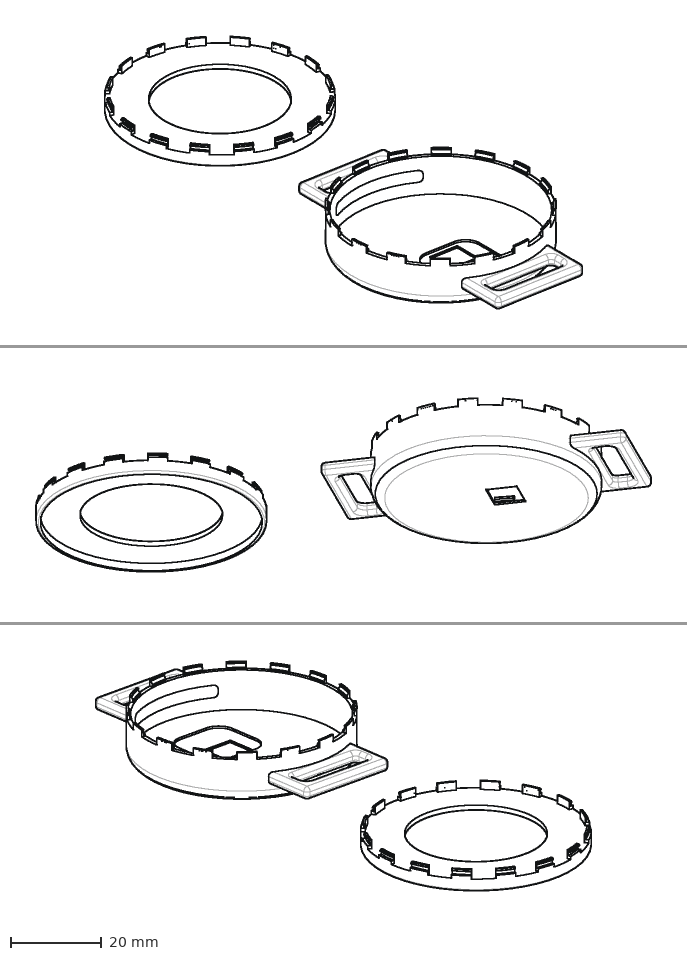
import cadquery as cq

outer_radius = 51.0 / 2
inner_radius = 49.0 / 2
wall = outer_radius - inner_radius

tooth_count = 16
tooth_angle = 10.0
tooth_pitch = 360 / tooth_count
gap_angle = tooth_pitch - tooth_angle

housing_height = 12.2
floor_thickness = 1.0
housing_bottom_fillet = 3.0

recess_size = 16.0
recess_corner = 4.0
recess_depth = 0.5
recess_center_x = 7.75
window_length = 7.0
window_width = 7.9
window_center_x = 4.45

housing_tooth_height = 1.65
rim_radius = 25.0
rim_groove_radius = 25.2
rim_groove_depth = 0.4
rim_hook_radius = 24.6
rim_hook_depth = 1.2
rim_root_radius = 24.85

lid_center_x = -76.3
lid_bottom_z = 3.0
lid_thickness = 3.0
lid_web = 1.2
lid_opening_radius = 31.5 / 2
lid_bottom_fillet = 0.5

lid_tooth_height = 2.0
lid_ledge_height = 0.75
lid_neck_radius = 24.8
lid_neck_top = 1.5
lid_lip_radius = 25.2
lid_lip_height = 1.65
lid_tip_radius = 24.95

lug_reach = 136.44 - outer_radius + lid_center_x
lug_root_x = 20.0
lug_width = 24.9
lug_thickness = 3.0
lug_center_z = 5.7
lug_edge_fillet = 1.0
slot_near_x = 26.55
slot_far_x = 31.45
slot_length = 19.5
slot_near_corner = 1.0
slot_far_corner = 1.8
slot_edge_fillet = 1.0


def cylinder(radius, height):
    return cq.Workplane("XY").circle(radius).extrude(height)


def revolve(profile, angle=360.0):
    """Solid swept about Z from a closed (radius, height) outline, starting at +X."""
    return cq.Workplane("XZ").polyline(profile).close().revolve(angle, (0, 0), (0, 1))


def cut_gaps(body, bottom, height, first_angle):
    """Cut the gaps that leave teeth on a rim; the first gap starts at first_angle."""
    inside = inner_radius - wall
    outside = outer_radius + wall
    top = bottom + height + wall
    sector = [(inside, bottom), (outside, bottom), (outside, top), (inside, top)]
    gap = revolve(sector, gap_angle)
    for index in range(tooth_count):
        angle = first_angle + index * tooth_pitch
        body = body.cut(gap.rotate((0, 0, 0), (0, 0, 1), angle))
    return body


def build_lid():
    """Ring plate with a hollow underside and teeth hooked on their outer face."""
    plate_top = lid_thickness
    tip = plate_top + lid_tooth_height
    ledge = plate_top + lid_ledge_height
    underside = lid_thickness - lid_web
    profile = [
        (inner_radius, 0),
        (outer_radius, 0),
        (outer_radius, ledge),
        (lid_neck_radius, ledge),
        (lid_neck_radius, plate_top + lid_neck_top),
        (lid_lip_radius, plate_top + lid_lip_height),
        (lid_tip_radius, tip),
        (inner_radius, tip),
        (inner_radius, plate_top),
        (lid_opening_radius, plate_top),
        (lid_opening_radius, underside),
        (inner_radius, underside),
    ]
    lid = revolve(profile)
    lid = lid.faces("<Z").edges(cq.selectors.RadiusNthSelector(-1)).fillet(lid_bottom_fillet)
    lid = cut_gaps(lid, plate_top, lid_tooth_height, 0)
    return lid.translate((lid_center_x, 0, lid_bottom_z))


def build_lug_slot():
    """Cutter for the strap slot, with larger corners on its outer side."""
    slot_width = slot_far_x - slot_near_x
    slot = cq.Workplane("XY").box(slot_width, slot_length, lug_thickness)
    slot = slot.edges("|Z and <X").fillet(slot_near_corner)
    slot = slot.edges("|Z and >X").fillet(slot_far_corner)
    return slot.translate(((slot_near_x + slot_far_x) / 2, 0, 0))


def build_lug():
    """Strap lug on the +X side, ending flush with the inside of the housing wall."""
    length = lug_reach - lug_root_x
    lug = cq.Workplane("XY").box(length, lug_width, lug_thickness)
    lug = lug.edges("|X or >X or (|Z and >X)").fillet(lug_edge_fillet)
    lug = lug.translate((lug_root_x + length / 2, 0, 0))
    lug = lug.cut(build_lug_slot())
    rims = []
    for side in (">Z", "<Z"):
        for wire in lug.faces(side).val().innerWires():
            rims.extend(wire.Edges())
    lug = lug.newObject(rims).fillet(slot_edge_fillet)
    bore = cylinder(inner_radius, lug_thickness).translate((0, 0, -lug_thickness / 2))
    return lug.cut(bore).translate((0, 0, lug_center_z))


def build_housing(lugs):
    """Cup with hooked rim teeth, a floor window, and wall openings filled by the lugs."""
    tooth_root = housing_height - housing_tooth_height
    hook = housing_height - rim_hook_depth
    cup = cylinder(outer_radius, housing_height)
    cup = cup.faces("<Z").edges().fillet(housing_bottom_fillet)
    cavity = [
        (0, floor_thickness),
        (inner_radius, floor_thickness),
        (inner_radius, tooth_root),
        (rim_root_radius, tooth_root),
        (rim_root_radius, hook),
        (rim_hook_radius, hook),
        (rim_groove_radius, housing_height - rim_groove_depth),
        (rim_radius, housing_height),
        (0, housing_height),
    ]
    cup = cup.cut(revolve(cavity))
    cup = cut_gaps(cup, tooth_root, housing_tooth_height, tooth_angle)

    recess = cq.Workplane("XY").rect(recess_size, recess_size).extrude(recess_depth)
    recess = recess.edges("|Z").fillet(recess_corner)
    cup = cup.cut(recess.translate((recess_center_x, 0, floor_thickness - recess_depth)))
    window = cq.Workplane("XY").rect(window_length, window_width).extrude(floor_thickness)
    cup = cup.cut(window.translate((window_center_x, 0, 0)))

    for lug in lugs:
        cup = cup.cut(lug)
    return cup


lugs = [build_lug().rotate((0, 0, 0), (0, 0, 1), angle) for angle in (0, 180)]
housing = build_housing(lugs)
lid = build_lid()
result = cq.Compound.makeCompound([housing.val(), lid.val(), *[lug.val() for lug in lugs]])